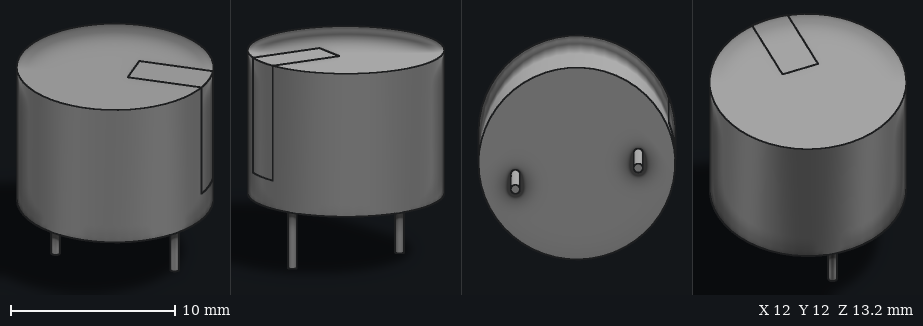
import cadquery as cq

can_diameter = 11.99
overall_height = 13.22
can_height = 8.99
can_radius = can_diameter / 2

pin_diameter = 0.55
pin_pitch = 7.6

label_thickness = 0.019
label_width = 2.35
label_inner_x = 1.18
label_drop = 7.2

pin_length = overall_height - can_height - label_thickness


def make_can():
    return cq.Workplane("XY").circle(can_radius).extrude(can_height)


def make_pin(x):
    return cq.Workplane("XY").center(x, 0).circle(pin_diameter / 2).extrude(-pin_length)


def make_label(can):
    """Strip of a slightly larger cylinder, hollowed by the can so that it wraps the rim."""
    label_height = label_drop + label_thickness
    outer_radius = can_radius + label_thickness
    envelope = (
        cq.Workplane("XY")
        .workplane(offset=can_height - label_drop)
        .circle(outer_radius)
        .extrude(label_height)
    )
    strip = cq.Workplane("XY").box(
        outer_radius - label_inner_x,
        label_width,
        label_height,
        centered=(False, True, False),
    ).translate((label_inner_x, 0, can_height - label_drop))
    return envelope.intersect(strip).cut(can)


can = make_can()
pins = [make_pin(side * pin_pitch / 2) for side in (-1, 1)]
label = make_label(can)

result = cq.Compound.makeCompound(
    [can.val(), *[pin.val() for pin in pins], *label.vals()]
)